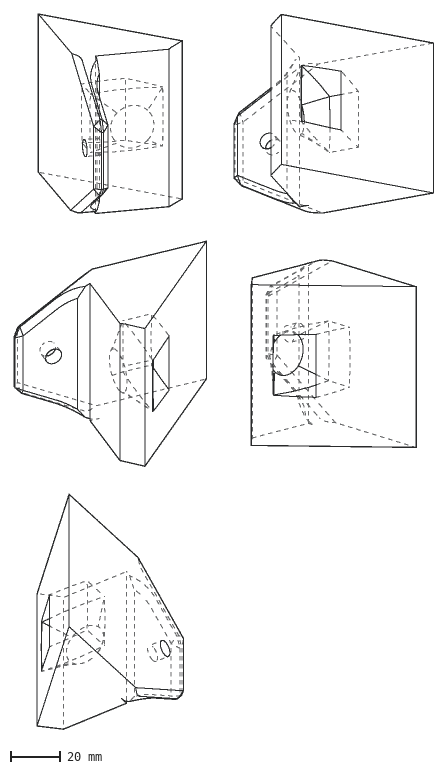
import cadquery as cq
import math

length = 86.0
depth = 47.4
height = 68.0
mid_z = height / 2

block_x = 55.1
shoulder_y = depth - (block_x - depth)

root_y = 8.8
root_end_x = 60.6
tongue_y = 6.0
blend_radius = 12.9
blend_drop = root_y - tongue_y
blend_end_x = root_end_x + math.sqrt(blend_radius**2 - (blend_radius - blend_drop) ** 2)
blend_half_angle = math.acos((blend_radius - blend_drop) / blend_radius) / 2
blend_mid_x = blend_end_x - blend_radius * math.sin(blend_half_angle)
blend_mid_y = tongue_y + blend_radius * (1 - math.cos(blend_half_angle))

top_slope = 0.61
bottom_slope = 0.6
taper_top_x = 55.3
taper_bottom_x = 53.6
corner_radius = 8.6
tip_cut_top_x = 83.8
tip_cut_top_z = 45.85
tip_cut_bottom_x = 83.0
tip_cut_bottom_z = 21.4

bevel = 2.6
top_inset_z = bevel * math.hypot(1, top_slope)
bottom_inset_z = bevel * math.hypot(1, bottom_slope)
cutter_overrun = 6.9

hole_diameter = 7.0
hole_x = 70.0

pocket_y = 25.6
pocket_start_x = 28.7
funnel_start_x = 41.3
pocket_floor_x = 49.9
pocket_width = 31.0
pocket_height = 26.7
side_bow = 0.3
top_bow = 0.7
floor_diameter = 18.2


def top_taper_z(x):
    return height - top_slope * (x - taper_top_x)


def bottom_taper_z(x):
    return bottom_slope * (x - taper_bottom_x)


top_edge_start = (taper_top_x, height)
top_corner = (tip_cut_top_x, top_taper_z(tip_cut_top_x))
tip_top = (length, tip_cut_top_z)
tip_bottom = (length, tip_cut_bottom_z)
bottom_corner = (tip_cut_bottom_x, bottom_taper_z(tip_cut_bottom_x))
bottom_edge_start = (taper_bottom_x, 0)


def make_profile():
    """Plan outline of block and tongue, extruded over the full height."""
    return (
        cq.Workplane("XY")
        .lineTo(length, 0)
        .lineTo(length, tongue_y)
        .lineTo(blend_end_x, tongue_y)
        .threePointArc((blend_mid_x, blend_mid_y), (root_end_x, root_y))
        .lineTo(block_x, root_y)
        .lineTo(block_x, shoulder_y)
        .lineTo(depth, depth)
        .close()
        .extrude(height)
    )


def make_outline(rounded):
    """Tapered outline, sharp or rounded at the shoulders; the lower taper stops at the tongue root."""
    lower_points = [(0, 0), bottom_edge_start, bottom_corner, tip_bottom]
    upper_points = [tip_top, top_corner, top_edge_start, (0, height)]
    outline = cq.Workplane("XZ").polyline(lower_points + upper_points).close().extrude(-depth)
    if rounded:
        for x, z in (top_edge_start, bottom_edge_start):
            shoulder = cq.selectors.NearestToPointSelector((x, depth / 2, z))
            outline = outline.edges("|Y").edges(shoulder).fillet(corner_radius)
    block_foot = (
        cq.Workplane("XY").box(block_x, depth - root_y, mid_z, centered=False).translate((0, root_y, 0))
    )
    return outline.union(block_foot)


def corner_inset(corner, tip, inner_z):
    """Distance from the tip cut to the corner where the flat faces of the tongue end."""
    run_x = tip[0] - corner[0]
    run_z = tip[1] - corner[1]
    offset_x = length - bevel - corner[0]
    offset_z = inner_z - corner[1]
    return abs(run_x * offset_z - run_z * offset_x) / math.hypot(run_x, run_z)


def bevel_cutter(start, end, inset, face_y, into):
    """Triangular bar along an outline edge, sinking from face_y in direction into (+1 or -1) along Y.

    Start to end runs clockwise with X right and Z up, so the outline lies to the right of the edge.
    """
    run = math.hypot(end[0] - start[0], end[1] - start[1])
    along = cq.Vector((end[0] - start[0]) / run, 0, (end[1] - start[1]) / run)
    outward = cq.Vector(-along.z, 0, along.x)
    origin = cq.Vector(start[0], face_y, start[1]) - along * cutter_overrun
    sink = -into * bevel
    return (
        cq.Workplane(cq.Plane(origin=origin, xDir=outward, normal=along))
        .polyline([(-inset, 0), (inset, 2 * sink), (inset, 0)])
        .close()
        .extrude(run + 2 * cutter_overrun)
    )


def bevel_back_sides(body):
    """Chamfer the tapered back edges of the tongue, both along the arc and along the flat."""
    edges = []
    for taper_z in (top_taper_z, bottom_taper_z):
        blend_point = cq.Vector(blend_mid_x, blend_mid_y, taper_z(blend_mid_x))
        flat_x = (blend_end_x + tip_cut_bottom_x) / 2
        flat_point = cq.Vector(flat_x, tongue_y, taper_z(flat_x))
        for point in (blend_point, flat_point):
            vertex = cq.Vertex.makeVertex(*point.toTuple())
            edges.append(min(body.edges().vals(), key=vertex.distance))
    return body.newObject(edges).chamfer(bevel)


def bevel_straight_edges(body):
    """Flat bevels on the tapered front edges, and on both sides of the tip and its cut corners."""
    body = body.cut(bevel_cutter(top_edge_start, top_corner, bevel, 0, 1))
    body = body.cut(bevel_cutter(bottom_corner, bottom_edge_start, bevel, 0, 1))
    top_inset = corner_inset(top_corner, tip_top, top_taper_z(length - bevel) - top_inset_z)
    bottom_inset = corner_inset(bottom_corner, tip_bottom, bottom_taper_z(length - bevel) + bottom_inset_z)
    for face_y, into in ((0, 1), (tongue_y, -1)):
        body = body.cut(bevel_cutter(tip_top, tip_bottom, bevel, face_y, into))
        body = body.cut(bevel_cutter(top_corner, tip_top, top_inset, face_y, into))
        body = body.cut(bevel_cutter(tip_bottom, bottom_corner, bottom_inset, face_y, into))
    return body


def make_hole():
    hole = cq.Workplane("XZ").center(hole_x, mid_z).circle(hole_diameter / 2)
    return hole.extrude(-depth)


def four_arc_outline(x, corner_y, corner_z, bulge_y, bulge_z):
    """Closed outline of four arcs at a given x, centred on the pocket axis."""
    return (
        cq.Workplane("YZ", origin=(x, pocket_y, mid_z))
        .moveTo(-corner_y, -corner_z)
        .threePointArc((0, -bulge_z), (corner_y, -corner_z))
        .threePointArc((bulge_y, 0), (corner_y, corner_z))
        .threePointArc((0, bulge_z), (-corner_y, corner_z))
        .threePointArc((-bulge_y, 0), (-corner_y, -corner_z))
        .close()
    )


def mouth_outline(x):
    """Near-rectangular pocket outline with slightly bowed sides."""
    half_width = pocket_width / 2
    half_height = pocket_height / 2
    return four_arc_outline(x, half_width - side_bow, half_height - top_bow, half_width, half_height)


def make_pocket():
    """Pocket that runs straight along X and then funnels down to a round floor."""
    straight = mouth_outline(pocket_start_x).extrude(funnel_start_x - pocket_start_x)

    radius = floor_diameter / 2
    diagonal = radius * math.sqrt(0.5)
    floor = four_arc_outline(pocket_floor_x, diagonal, diagonal, radius, radius)
    mouth = mouth_outline(funnel_start_x)
    funnel = cq.Solid.makeLoft([mouth.wires().val(), floor.wires().val()], True)
    return straight.union(cq.Workplane(obj=funnel))


tapered_body = make_profile().intersect(make_outline(rounded=False))
rounded_body = bevel_back_sides(tapered_body).intersect(make_outline(rounded=True))
bevelled_body = bevel_straight_edges(rounded_body)
result = bevelled_body.cut(make_hole()).cut(make_pocket())